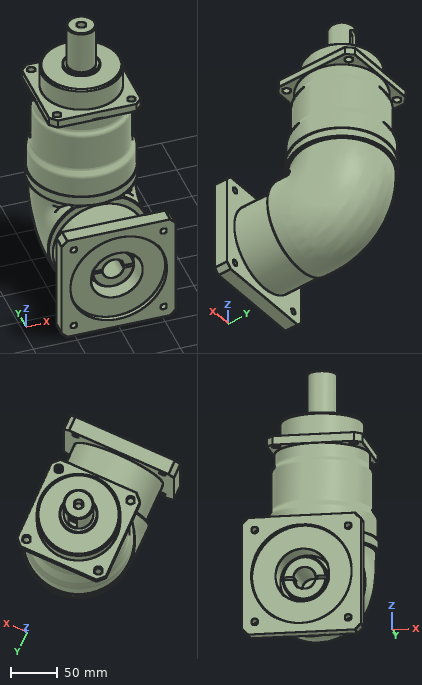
import cadquery as cq
import math


plate_side = 130.0
plate_thickness = 17.0
plate_face_y = -122.8
plate_corner_chamfer = 6.5
plate_hole_diameter = 7.0
plate_hole_spacing = 102.3
plate_recess_radius = 55.0
plate_recess_depth = 6.0
input_axis_z = plate_side / 2
plate_back_y = plate_face_y + plate_thickness

input_bore_radius = 29.5
input_bore_depth = 28.8
hub_radius = 24.0
hub_setback = 11.8
hub_chamfer = 1.0
motor_bore_radius = 12.0
motor_bore_depth = 51.0
hub_slot_width = 3.2
recess_floor_y = plate_face_y + plate_recess_depth
hub_face_y = recess_floor_y + hub_setback
hub_length = input_bore_depth - hub_setback

tube_radius = 52.5
elbow_radius = 58.0
bend_radius = 42.2
elbow_end_y = -57.5
elbow_end_chamfer = 1.0
elbow_axis_z = input_axis_z - tube_radius + elbow_radius
bend_y = -bend_radius
bend_z = elbow_axis_z + bend_radius

collar_radius = 60.7
collar_bottom_z = 120.2
collar_top_z = 132.7
collar_chamfer = 1.0
body_radius = 59.8
lower_cone_bottom_z = 158.0
lower_cone_top_z = 165.0
ring_gear_radius = 55.0
upper_cone_bottom_z = 209.7
upper_cone_top_z = 214.5
neck_radius = 51.5
cone_blend_radius = 4.8
rim_tolerance = 0.3

flange_side = 2 * tube_radius
flange_bottom_z = 229.5
flange_top_z = 239.0
flange_corner_chamfer = 7.7
flange_hole_diameter = 9.0
flange_hole_spacing = 84.7

pilot_radius = 45.0
pilot_top_z = 265.7
pilot_chamfer = 2.0
seal_radius = 20.5
seal_height = 2.0
seal_chamfer = 1.0
shaft_radius = 16.0
shaft_top_z = 319.7
shaft_chamfer = 1.0
center_hole_radius = 5.0
center_hole_depth = 19.2
drill_point_angle = 118.0

keyway_width = 10.0
keyway_depth = 5.0
keyway_length = 40.0
keyway_end_gap = 7.0


def disc(radius, bottom, top):
    """Cylinder about the Z axis between two heights."""
    return cq.Workplane("XY").workplane(offset=bottom).circle(radius).extrude(top - bottom)


def input_plane(y, z=input_axis_z):
    """Work plane facing -Y; a positive extrude runs toward -Y."""
    return cq.Workplane("XZ", origin=(0, y, z))


def make_elbow():
    """Quarter bend joining a vertical and a horizontal arm."""
    vertical_arm = disc(elbow_radius, bend_z, collar_bottom_z)
    horizontal_arm = (
        input_plane(elbow_end_y, elbow_axis_z)
        .circle(elbow_radius)
        .extrude(elbow_end_y - bend_y)
        .faces("<Y")
        .chamfer(elbow_end_chamfer)
    )
    half_chord = math.sqrt(elbow_radius**2 - bend_radius**2)
    bend = (
        cq.Workplane("XY", origin=(0, 0, bend_z))
        .moveTo(-half_chord, bend_y)
        .threePointArc((0, elbow_radius), (half_chord, bend_y))
        .close()
        .revolve(90, (0, bend_y, 0), (-1, bend_y, 0))
    )
    below_collar = disc(2 * collar_radius, 0, collar_bottom_z)
    return vertical_arm.union(horizontal_arm).union(bend).intersect(below_collar)


def make_housing():
    """Turned body with two blended cones, standing on the collar."""
    cone_heights = (lower_cone_bottom_z, lower_cone_top_z, upper_cone_bottom_z, upper_cone_top_z)
    body = (
        cq.Workplane("XZ")
        .moveTo(0, collar_top_z)
        .lineTo(body_radius, collar_top_z)
        .lineTo(body_radius, lower_cone_bottom_z)
        .lineTo(ring_gear_radius, lower_cone_top_z)
        .lineTo(ring_gear_radius, upper_cone_bottom_z)
        .lineTo(neck_radius, upper_cone_top_z)
        .lineTo(neck_radius, flange_bottom_z)
        .lineTo(0, flange_bottom_z)
        .close()
        .revolve(360, (0, 0, 0), (0, 1, 0))
    )
    for height in cone_heights:
        rim = cq.selectors.BoxSelector(
            (-rim_tolerance, -rim_tolerance, height - rim_tolerance),
            (rim_tolerance, rim_tolerance, height + rim_tolerance),
        )
        body = body.edges(rim).fillet(cone_blend_radius)
    collar = disc(collar_radius, collar_bottom_z, collar_top_z).faces("<Z").chamfer(collar_chamfer)
    return body.union(collar)


def make_output_flange():
    """Square flange with four through holes, and the pilot above it."""
    flange = (
        cq.Workplane("XY")
        .workplane(offset=flange_bottom_z)
        .rect(flange_side, flange_side)
        .extrude(flange_top_z - flange_bottom_z)
        .edges("|Z")
        .chamfer(flange_corner_chamfer)
        .faces(">Z")
        .workplane()
        .rect(flange_hole_spacing, flange_hole_spacing, forConstruction=True)
        .vertices()
        .hole(flange_hole_diameter)
    )
    pilot = disc(pilot_radius, flange_top_z, pilot_top_z).faces(">Z").chamfer(pilot_chamfer)
    seal_top_z = pilot_top_z + seal_height
    seal = disc(seal_radius, pilot_top_z, seal_top_z).faces(">Z").chamfer(seal_chamfer)
    return flange.union(pilot).union(seal)


def make_shaft():
    """Output shaft with a drilled center hole and a closed keyway."""
    shaft = disc(shaft_radius, pilot_top_z, shaft_top_z).faces(">Z").chamfer(shaft_chamfer)
    hole_bottom_z = shaft_top_z - center_hole_depth
    point_depth = center_hole_radius / math.tan(math.radians(drill_point_angle / 2))
    center_hole = (
        cq.Workplane("XZ")
        .moveTo(0, shaft_top_z)
        .lineTo(center_hole_radius, shaft_top_z)
        .lineTo(center_hole_radius, hole_bottom_z)
        .lineTo(0, hole_bottom_z - point_depth)
        .close()
        .revolve(360, (0, 0, 0), (0, 1, 0))
    )
    keyway_middle_z = shaft_top_z - keyway_end_gap - keyway_length / 2
    keyway = (
        input_plane(shaft_radius, keyway_middle_z)
        .slot2D(keyway_length, keyway_width, 90)
        .extrude(keyway_depth)
    )
    return shaft.cut(center_hole).cut(keyway)


def make_input_flange():
    """Solid tube ending in the square plate with its four through holes."""
    tube = input_plane(bend_y).circle(tube_radius).extrude(bend_y - plate_back_y)
    plate = (
        input_plane(plate_back_y)
        .rect(plate_side, plate_side)
        .extrude(plate_thickness)
        .edges("|Y")
        .chamfer(plate_corner_chamfer)
        .faces("<Y")
        .workplane()
        .rect(plate_hole_spacing, plate_hole_spacing, forConstruction=True)
        .vertices()
        .hole(plate_hole_diameter)
    )
    return tube.union(plate)


def cut_input_bore(part):
    """Open the stepped input bore and leave the slotted clamping hub standing in it."""
    recess = input_plane(plate_face_y).circle(plate_recess_radius).extrude(-plate_recess_depth)
    bore = input_plane(recess_floor_y).circle(input_bore_radius).extrude(-input_bore_depth)
    hub = (
        input_plane(hub_face_y)
        .circle(hub_radius)
        .extrude(-hub_length)
        .faces("<Y")
        .chamfer(hub_chamfer)
    )
    slot = input_plane(hub_face_y).rect(2 * hub_radius, hub_slot_width).extrude(-hub_length)
    motor_bore = input_plane(hub_face_y).circle(motor_bore_radius).extrude(-motor_bore_depth)
    return part.cut(recess).cut(bore).union(hub).cut(slot).cut(motor_bore)


gearbox = (
    make_elbow()
    .union(make_housing())
    .union(make_output_flange())
    .union(make_shaft())
    .union(make_input_flange())
)
result = cut_input_bore(gearbox)